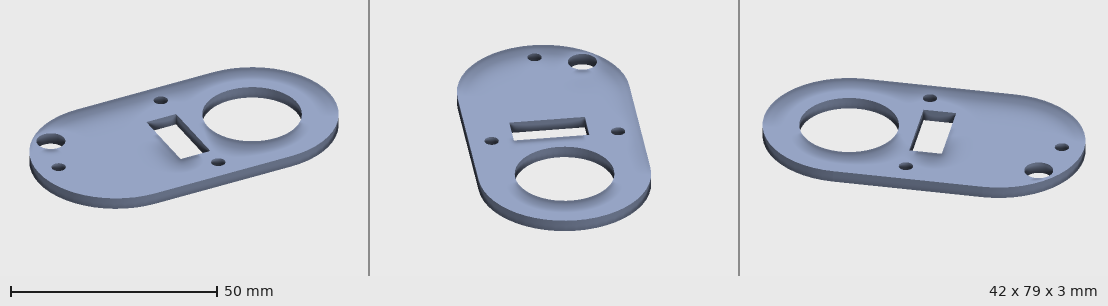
import cadquery as cq

length = 79.0
width = 42.0
thickness = 3.0
end_center_y = (length - width) / 2

opening_diameter = 24.2

screw_diameter = 3.5
screw_pair_x = 15.5
screw_pair_y = 1.5
lower_screw_y = -34.05

side_hole_diameter = 7.0
side_hole_x = -11.2
side_hole_y = -30.5

window_width = 18.5
window_height = 8.05
window_x = 0.9
window_y = -2.0


def drill(plate, diameter, centers):
    """Cut round through holes of one diameter at the given centers."""
    cutters = cq.Workplane("XY").pushPoints(centers).circle(diameter / 2).extrude(thickness)
    return plate.cut(cutters)


plate = cq.Workplane("XY").slot2D(length, width, 90).extrude(thickness)

plate = drill(plate, opening_diameter, [(0, end_center_y)])
plate = drill(
    plate,
    screw_diameter,
    [(-screw_pair_x, screw_pair_y), (screw_pair_x, screw_pair_y), (0, lower_screw_y)],
)
plate = drill(plate, side_hole_diameter, [(side_hole_x, side_hole_y)])

window = (
    cq.Workplane("XY")
    .center(window_x, window_y)
    .rect(window_width, window_height)
    .extrude(thickness)
)

result = plate.cut(window)